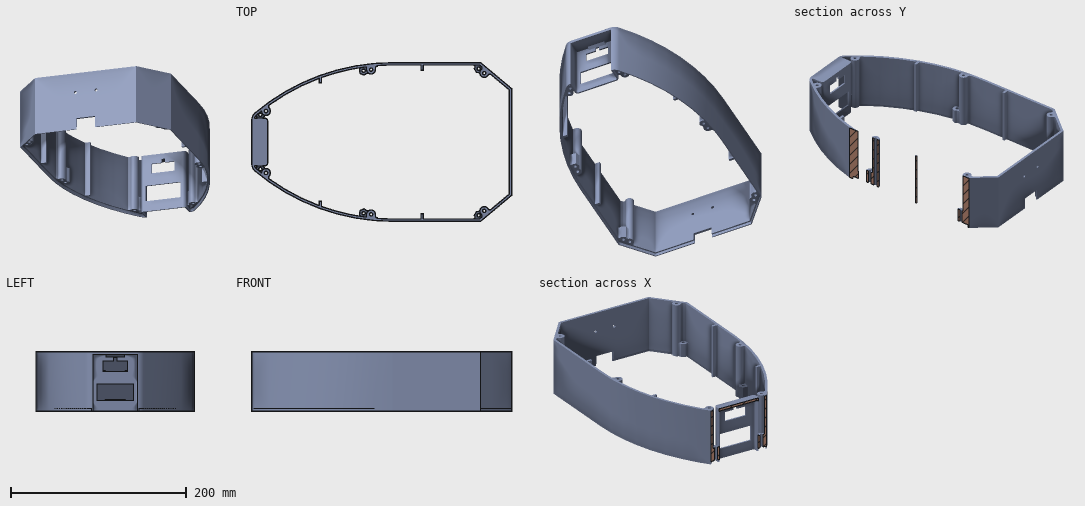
import cadquery as cq
import math

LENGTH = 296.0
WIDTH = 181.0
HEIGHT = 68.0
WALL = 3.0

NOSE_X = -LENGTH / 2
TAIL_X = LENGTH / 2
SIDE_Y = WIDTH / 2
FLANK_START_X = 12.7
FLANK_RADIUS = 243.5
FLANK_CENTER_Y = SIDE_Y - FLANK_RADIUS
TAIL_CHAMFER_X = 112.5
TAIL_HALF_WIDTH = 60.7
TAIL_NORMAL = math.atan2(TAIL_X - TAIL_CHAMFER_X, SIDE_Y - TAIL_HALF_WIDTH)
NOSE_RADIUS = 11.2

SEAT_DEPTH = 1.8
SEAT_HEIGHT = 3.5

BOSS_RADIUS = 5.0
HEX_DIAMETER = 10.5
SHORT_BOSS_HEIGHT = 20.0
SCREW_HOLE_DIAMETER = 3.5
FRONT_TALL = (-131.7, 35.2)
FRONT_SHORT = (-138.2, 30.8)
MIDDLE_TALL = (-12.0, 82.3)
MIDDLE_SHORT = (-20.7, 81.0)
REAR_TALL = (116.5, 78.5)
REAR_SHORT = (110.5, 83.5)
BOSS_PAIRS = [
    (FRONT_TALL, FRONT_SHORT, 38),
    (MIDDLE_TALL, MIDDLE_SHORT, 38),
    (REAR_TALL, REAR_SHORT, 0),
]

TALL_WEB_WIDTH = 2 * BOSS_RADIUS
TALL_WEB_FLARE = 2.0
SHORT_WEB_WIDTH = 9.0
SHORT_WEB_FLARE = 1.8
FRONT_WEB_WIDTH = 6.5
BRIDGE_WIDTH = 7.5

RIB_WIDTH = 3.0
RIBS = [(-70.0, 67.2), (46.0, 81.5)]

BAY_BACK_X = -129.5
BAY_SHELL = 1.8
BAY_HALF_WIDTH = 25.5
BAY_INNER_RADIUS = 1.8
BAY_ROOF_Z = HEIGHT - 3.5
PANEL_X = BAY_BACK_X - BAY_SHELL

LOWER_WINDOW_WIDTH = 42.0
LOWER_WINDOW_Z = (12.5, 31.0)
UPPER_WINDOW_WIDTH = 27.8
UPPER_WINDOW_Z = (45.5, 57.0)
NECK_WIDTH = 4.5
NECK_TOP_Z = 61.5
STRIP_WIDTH = 20.7
STRIP_SIZE = 2.7

NOTCH_WIDTH = 22.5
NOTCH_HEIGHT = 13.3
TAIL_HOLE_DIAMETER = 3.5
TAIL_HOLE_SPACING = 25.0
TAIL_HOLE_Z = 44.7


def flank_y(x):
    """Outer half-width of the body on the flank arc."""
    return FLANK_CENTER_Y + math.sqrt(FLANK_RADIUS ** 2 - (x - FLANK_START_X) ** 2)


def body(inset, height):
    """Solid with the plan outline moved inward by inset and its nose corners rounded."""
    nose_y = flank_y(NOSE_X)
    bend_x = (NOSE_X + FLANK_START_X) / 2
    bend_y = flank_y(bend_x)
    outline = (
        cq.Workplane("XY")
        .moveTo(NOSE_X, -nose_y)
        .threePointArc((bend_x, -bend_y), (FLANK_START_X, -SIDE_Y))
        .lineTo(TAIL_CHAMFER_X, -SIDE_Y)
        .lineTo(TAIL_X, -TAIL_HALF_WIDTH)
        .lineTo(TAIL_X, TAIL_HALF_WIDTH)
        .lineTo(TAIL_CHAMFER_X, SIDE_Y)
        .lineTo(FLANK_START_X, SIDE_Y)
        .threePointArc((bend_x, bend_y), (NOSE_X, nose_y))
        .close()
    )
    if inset:
        outline = outline.offset2D(-inset, "intersection")
    return outline.extrude(height).edges("|Z and <X").fillet(NOSE_RADIUS - inset)


def box(x_range, y_range, z_range):
    (x0, x1), (y0, y1), (z0, z1) = x_range, y_range, z_range
    return cq.Workplane("XY").box(x1 - x0, y1 - y0, z1 - z0, centered=False).translate((x0, y0, z0))


def centered_box(x_range, width, z_range):
    return box(x_range, (-width / 2, width / 2), z_range)


def both_sides(solid):
    return solid.union(solid.mirror("XZ"))


def placed(solid, center, angle):
    """Turn a solid about Z by an angle in degrees, then move it to a plan position."""
    return solid.rotate((0, 0, 0), (0, 0, 1), angle).translate((*center, 0))


def tall_boss(center):
    return cq.Workplane("XY").center(*center).circle(BOSS_RADIUS).extrude(HEIGHT)


def short_boss(center, angle):
    post = cq.Workplane("XY").polygon(6, HEX_DIAMETER).extrude(SHORT_BOSS_HEIGHT)
    return placed(post, center, angle)


def bridge(tall, short):
    """Low bar joining a short boss to the tall boss beside it."""
    run_x = tall[0] - short[0]
    run_y = tall[1] - short[1]
    bar = centered_box((0, math.hypot(run_x, run_y)), BRIDGE_WIDTH, (0, SHORT_BOSS_HEIGHT))
    return placed(bar, short, math.degrees(math.atan2(run_y, run_x)))


def web(center, width, gap, angle, height, flare):
    """Web from a boss axis across the gap to the wall, flared where it meets the wall."""
    half = width / 2
    foot = half + flare
    arc_x = gap - flare * (1 - math.sin(math.pi / 4))
    arc_y = half + flare * (1 - math.cos(math.pi / 4))
    end = gap + WALL / 2
    flared_foot = (
        cq.Workplane("XY")
        .moveTo(gap - flare, -half)
        .threePointArc((arc_x, -arc_y), (gap, -foot))
        .lineTo(end, -foot)
        .lineTo(end, foot)
        .lineTo(gap, foot)
        .threePointArc((arc_x, arc_y), (gap - flare, half))
        .close()
        .extrude(height)
    )
    straight = centered_box((0, end), width, (0, height))
    return placed(straight.union(flared_foot), center, math.degrees(angle))


def side_web(center, width, height, flare):
    """Web along Y to the side wall."""
    x, y = center
    outer_y = flank_y(x) if x < FLANK_START_X else SIDE_Y
    return web(center, width, outer_y - WALL - y, math.pi / 2, height, flare)


def tail_web(center):
    """Web square to the chamfered tail wall."""
    to_wall_x = (TAIL_CHAMFER_X - center[0]) * math.cos(TAIL_NORMAL)
    to_wall_y = (SIDE_Y - center[1]) * math.sin(TAIL_NORMAL)
    gap = to_wall_x + to_wall_y - WALL
    return web(center, TALL_WEB_WIDTH, gap, TAIL_NORMAL, HEIGHT, TALL_WEB_FLARE)


fittings = side_web(MIDDLE_TALL, TALL_WEB_WIDTH, HEIGHT, TALL_WEB_FLARE)
fittings = fittings.union(tail_web(REAR_TALL))
for short in (MIDDLE_SHORT, REAR_SHORT):
    fittings = fittings.union(side_web(short, SHORT_WEB_WIDTH, SHORT_BOSS_HEIGHT, SHORT_WEB_FLARE))
front_web_span = (FRONT_TALL[0] - FRONT_WEB_WIDTH / 2, FRONT_TALL[0] + FRONT_WEB_WIDTH / 2)
fittings = fittings.union(box(front_web_span, (FRONT_TALL[1], SIDE_Y), (0, HEIGHT)))
for tall, short, hex_angle in BOSS_PAIRS:
    fittings = fittings.union(tall_boss(tall))
    fittings = fittings.union(short_boss(short, hex_angle))
    fittings = fittings.union(bridge(tall, short))
for rib_x, tip_y in RIBS:
    rib_span = (rib_x - RIB_WIDTH / 2, rib_x + RIB_WIDTH / 2)
    fittings = fittings.union(box(rib_span, (tip_y, SIDE_Y), (0, HEIGHT)))

outer = body(0, HEIGHT)
shell = outer.cut(body(WALL, HEIGHT))
shell = shell.union(both_sides(fittings).intersect(outer))
shell = shell.cut(body(WALL - SEAT_DEPTH, SEAT_HEIGHT))

bay = centered_box((NOSE_X, BAY_BACK_X), 2 * (BAY_HALF_WIDTH + BAY_SHELL), (0, HEIGHT))
bay = bay.edges("|Z and >X").fillet(BAY_INNER_RADIUS + BAY_SHELL).intersect(outer)
bay_space = centered_box((NOSE_X, PANEL_X), 2 * BAY_HALF_WIDTH, (0, BAY_ROOF_Z))
bay_space = bay_space.edges("|Z and >X").fillet(BAY_INNER_RADIUS)
result = shell.union(bay).cut(bay_space)

strip = (
    cq.Workplane("XZ")
    .moveTo(PANEL_X, BAY_ROOF_Z)
    .lineTo(PANEL_X - STRIP_SIZE, BAY_ROOF_Z)
    .lineTo(PANEL_X, BAY_ROOF_Z - STRIP_SIZE)
    .close()
    .extrude(STRIP_WIDTH / 2, both=True)
)
result = result.union(strip)

panel_span = (PANEL_X, BAY_BACK_X)
result = result.cut(centered_box(panel_span, LOWER_WINDOW_WIDTH, LOWER_WINDOW_Z))
result = result.cut(centered_box(panel_span, UPPER_WINDOW_WIDTH, UPPER_WINDOW_Z))
result = result.cut(centered_box(panel_span, NECK_WIDTH, (UPPER_WINDOW_Z[1], NECK_TOP_Z)))

for tall, short, _ in BOSS_PAIRS:
    holes = cq.Workplane("XY").pushPoints([tall, short]).circle(SCREW_HOLE_DIAMETER / 2).extrude(HEIGHT)
    result = result.cut(both_sides(holes))

result = result.cut(centered_box((TAIL_X - WALL, TAIL_X), NOTCH_WIDTH, (0, NOTCH_HEIGHT)))
tail_holes = (
    cq.Workplane("YZ", origin=(TAIL_X - WALL, 0, TAIL_HOLE_Z))
    .pushPoints([(-TAIL_HOLE_SPACING / 2, 0), (TAIL_HOLE_SPACING / 2, 0)])
    .circle(TAIL_HOLE_DIAMETER / 2)
    .extrude(WALL)
)
result = result.cut(tail_holes)